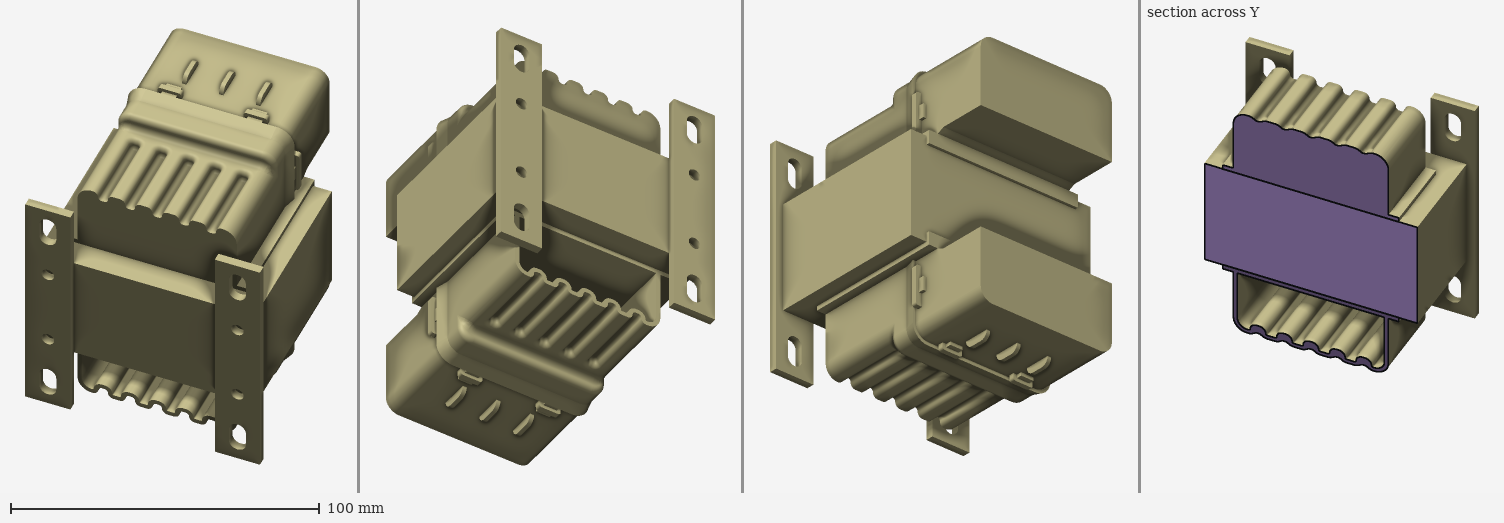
import cadquery as cq

core_width = 76.7
e_depth = 50.6
i_depth = 13.05
stack_height = 39.8

foot_thickness = 3.0
foot_width = 15.875
foot_height = 85.725
feet_span = 82.55
slot_width = 5.95
slot_length = 11.1
slot_offset = 33.35
rivet_hole_diameter = 4.4
rivet_hole_offset = 14.35

foot_x = (feet_span - foot_width) / 2
core_front = foot_thickness
joint_y = core_front + e_depth
core_back = joint_y + i_depth
core_top = stack_height / 2

flange_width = 63.5
flange_thickness = 1.65
flange_top = core_top + flange_thickness
hook_thickness = 1.3
hook_drop = 3.35

cover_width = 56.0
corner_radius = 5.08
cap_top = 50.0
coil_top = 45.0
cover_front = 12.15
split_y = 57.45
cap_back = 89.25

shoulder_front = 44.45
shoulder_round = 2.0
shoulder_fillet = 2.1
lip_height = 1.3
lip_back = 57.1
lip_front = 52.4

groove_count = 5
groove_pitch = 9.525
groove_floor_width = 0.9
groove_mouth_radius = 2.0
groove_floor_radius = 1.25
groove_end = 38.1
cutter_rise = 0.5

wall = 1.6

blade_count = 3
blade_pitch = 13.0
blade_thickness = 1.5
blade_length = 10.3
blade_y = 70.5
blade_tip = 53.0
blade_radius = blade_tip - cap_top

latch_post_width = 5.2
latch_post_back = 62.2
latch_bar_front = 58.1
latch_bar_depth = 2.0
latch_bar_height = 2.55
latch_bar_round = 1.0
top_bar_length = 8.3
side_bar_length = 15.2
top_latch_x = 15.1
side_latch_z = 32.45

cap_underside = 22.8
step_start = core_back + hook_thickness
step_end = 70.7


def block(x_size, y_start, y_end, z_start, z_end):
    """Box centred on X = 0 between the given Y and Z planes."""
    box = cq.Workplane("XY").box(x_size, y_end - y_start, z_end - z_start, centered=(True, False, False))
    return box.translate((0, y_start, z_start))


def cover_block(y_start, y_end, bottom, top, width=cover_width, radius=corner_radius):
    """Block along Y with its two upper long edges rounded."""
    return block(width, y_start, y_end, bottom, top).edges("|Y and >Z").fillet(radius)


def flange(y_start, y_end):
    return block(flange_width, y_start, y_end, core_top, flange_top)


def make_e_core():
    return block(core_width, core_front, joint_y, -core_top, core_top)


def make_i_core():
    return block(core_width, joint_y, core_back, -core_top, core_top)


def make_foot(side):
    plate = block(foot_width, 0, foot_thickness, -foot_height / 2, foot_height / 2)
    face = plate.faces("<Y").workplane(origin=(0, 0, 0))
    plate = face.pushPoints([(0, slot_offset), (0, -slot_offset)]).slot2D(slot_length, slot_width, 90).cutThruAll()
    face = plate.faces("<Y").workplane(origin=(0, 0, 0))
    plate = face.pushPoints([(0, rivet_hole_offset), (0, -rivet_hole_offset)]).hole(rivet_hole_diameter)
    return plate.translate((side * foot_x, 0, 0))


def groove_side(plane, offset, mouth_radius, floor_radius):
    """Half cross-section of a groove beside its flat floor: a rounded mouth running into a rounded floor."""
    depth = mouth_radius + floor_radius
    return (
        cq.Workplane(plane)
        .workplane(offset=offset)
        .moveTo(0, cutter_rise)
        .lineTo(depth, cutter_rise)
        .lineTo(depth, 0)
        .radiusArc((floor_radius, -mouth_radius), -mouth_radius)
        .radiusArc((0, -depth), floor_radius)
        .close()
    )


def groove_cutter(mouth_radius, floor_radius):
    """Groove open at the front and closed by a round end at the back."""
    length = groove_end - cover_front
    half_floor = groove_floor_width / 2
    depth = mouth_radius + floor_radius
    side = groove_side("XZ", 0, mouth_radius, floor_radius).extrude(length)
    corner = groove_side("XZ", 0, mouth_radius, floor_radius).revolve(90, (0, 0, 0), (0, 1, 0))
    right_half = side.union(corner).translate((half_floor, 0, 0))
    back = groove_side("YZ", -half_floor, mouth_radius, floor_radius).extrude(groove_floor_width)
    middle = block(groove_floor_width, -length, 0, -depth, cutter_rise).union(back)
    cutter = middle.union(right_half).union(right_half.mirror("YZ"))
    return cutter.translate((0, groove_end, coil_top))


def cut_grooves(body, cutter):
    for index in range(groove_count):
        x = (index - (groove_count - 1) / 2) * groove_pitch
        body = body.cut(cutter.translate((x, 0, 0)))
    return body


def cover_outline(y, growth):
    """Arch-shaped cross-section of the terminal cap at Y, grown outwards by the given amount."""
    half = cover_width / 2 + growth
    top = cap_top + growth
    radius = corner_radius + growth
    return (
        cq.Workplane("XZ", origin=(0, y, 0))
        .moveTo(-half, flange_top)
        .lineTo(-half, top - radius)
        .radiusArc((-half + radius, top), radius)
        .lineTo(half - radius, top)
        .radiusArc((half, top - radius), radius)
        .lineTo(half, flange_top)
        .close()
        .wire()
    )


def make_lip():
    """Flared rim at the back of the shoulder, tapering down to it towards the front."""
    wires = [cover_outline(lip_back, lip_height).val(), cover_outline(lip_front, 0).val()]
    return cq.Workplane(cq.Solid.makeLoft(wires, True))


def make_coil_cover(hollow):
    """Upper coil cover, either solid or with a cavity that is open at the front."""
    shoulder = cover_block(shoulder_front, split_y, flange_top, cap_top)
    shoulder = shoulder.faces("<Y").edges("not <Z").fillet(shoulder_round)
    body = cover_block(cover_front, split_y, flange_top, coil_top).union(shoulder)

    step_size = 0.1
    step_zone = cq.selectors.BoxSelector(
        (-cover_width, shoulder_front - step_size, coil_top - shoulder_round),
        (cover_width, shoulder_front + step_size, coil_top + step_size),
    )
    body = body.edges(step_zone).edges("not |Z").fillet(shoulder_fillet)

    cutter = groove_cutter(groove_mouth_radius, groove_floor_radius)
    body = cut_grooves(body, cutter).union(make_lip()).union(flange(cover_front, split_y))
    if hollow:
        body = body.cut(make_cavity())
    return body


def make_cavity():
    """Inside of the lower coil cover, following its grooves at a constant wall thickness."""
    cavity = cover_block(
        cover_front, split_y, flange_top, coil_top - wall, cover_width - 2 * wall, corner_radius - wall
    )
    cutter = groove_cutter(groove_mouth_radius - wall, groove_floor_radius + wall)
    cutter = cutter.translate((0, 0, -wall))
    return cut_grooves(cavity, cutter)


def make_blade(x):
    """Terminal blade standing on the cap, with quarter-round ends."""
    start = blade_y - blade_length / 2
    end = blade_y + blade_length / 2
    profile = (
        cq.Workplane("YZ", origin=(x - blade_thickness / 2, 0, 0))
        .moveTo(start, cap_top)
        .radiusArc((start + blade_radius, blade_tip), blade_radius)
        .lineTo(end - blade_radius, blade_tip)
        .radiusArc((end, cap_top), blade_radius)
        .close()
    )
    return profile.extrude(blade_thickness)


def make_latch(bar_length):
    """Latch on a face at Z = 0, centred on X = 0: a post along Y under a bar across it."""
    post = block(latch_post_width, lip_back, latch_post_back, 0, lip_height)
    bar_back = latch_bar_front + latch_bar_depth
    bar = block(bar_length, latch_bar_front, bar_back, 0, latch_bar_height)
    bar = bar.edges("|Y and >Z").fillet(latch_bar_round)
    return post.union(bar)


def make_terminal_cap():
    """Upper terminal cap with its blades, latches and the hooked flange behind the core."""
    cap = cover_block(split_y, cap_back, flange_top, cap_top)
    step = (
        cq.Workplane("YZ", origin=(-cover_width / 2, 0, 0))
        .moveTo(step_start, flange_top)
        .lineTo(step_end, cap_underside)
        .lineTo(cap_back, cap_underside)
        .lineTo(cap_back, flange_top)
        .close()
        .extrude(cover_width)
    )
    cap = cap.cut(step).union(flange(split_y, step_start))
    hook = block(flange_width, core_back, step_start, core_top - hook_drop, flange_top)
    cap = cap.union(hook)

    for index in range(blade_count):
        cap = cap.union(make_blade((index - (blade_count - 1) / 2) * blade_pitch))
    for side in (-1, 1):
        cap = cap.union(make_latch(top_bar_length).translate((side * top_latch_x, 0, cap_top)))
        side_latch = make_latch(side_bar_length).rotate((0, 0, 0), (0, 1, 0), side * 90)
        cap = cap.union(side_latch.translate((side * cover_width / 2, 0, side_latch_z)))
    return cap


def turn_under(body):
    """Turn an upper cover half a turn about Y to the underside of the core."""
    return body.rotate((0, 0, 0), (0, 1, 0), 180)


e_core = make_e_core()
i_core = make_i_core()
feet = [make_foot(side) for side in (-1, 1)]
upper_coil_cover = make_coil_cover(hollow=False)
lower_coil_cover = turn_under(make_coil_cover(hollow=True))
upper_terminal_cap = make_terminal_cap()
lower_terminal_cap = turn_under(make_terminal_cap())

result = cq.Compound.makeCompound(
    [
        e_core.val(),
        i_core.val(),
        *[foot.val() for foot in feet],
        upper_coil_cover.val(),
        lower_coil_cover.val(),
        upper_terminal_cap.val(),
        lower_terminal_cap.val(),
    ]
)